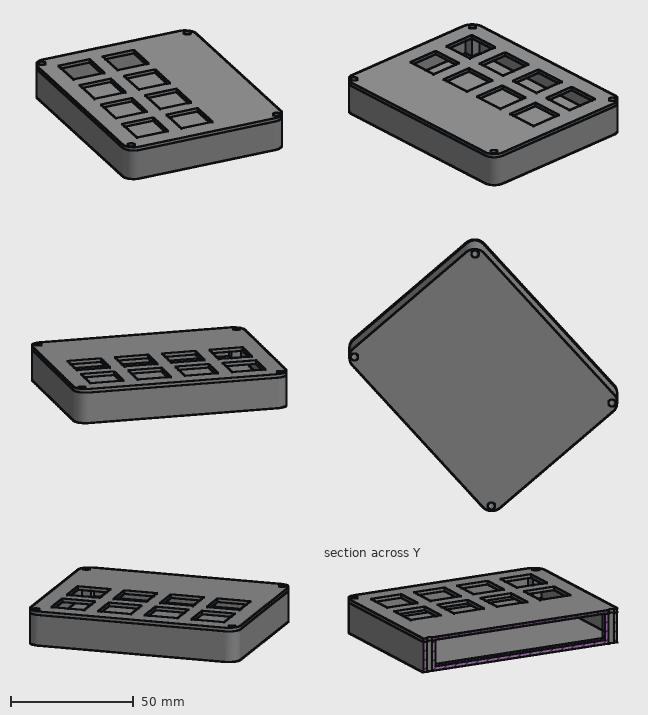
import cadquery as cq

length = 90.0
width = 71.55
height = 14.5
corner_radius = 5.0

lid_thickness = 1.5
wall = 2.0
floor_thickness = 2.0
housing_height = height - lid_thickness

board_thickness = 1.0

screw_diameter = 3.0
screw_inset = 3.0
corner_block = 2 * screw_inset

key_columns = 4
key_rows = 2
key_pitch = 20.0
key_window = 14.0
first_row_inset = 15.0
key_grid_y = -width / 2 + first_row_inset + (key_rows - 1) * key_pitch / 2


def rounded_block(bottom, thickness):
    """Block with the outer outline of the enclosure."""
    block = cq.Workplane("XY").workplane(offset=bottom).rect(length, width).extrude(thickness)
    return block.edges("|Z").fillet(corner_radius)


def cavity_block(bottom, thickness):
    """Block that fits inside the walls and between the four corner blocks."""
    plane = cq.Workplane("XY").workplane(offset=bottom)
    lengthwise = plane.rect(length - 2 * wall, width - 2 * corner_block).extrude(thickness)
    crosswise = plane.rect(length - 2 * corner_block, width - 2 * wall).extrude(thickness)
    return lengthwise.union(crosswise)


def screw_holes():
    """Cutters that pass through the lid and the housing."""
    spacing_x = length - 2 * screw_inset
    spacing_y = width - 2 * screw_inset
    centres = cq.Workplane("XY").rect(spacing_x, spacing_y, forConstruction=True).vertices()
    return centres.circle(screw_diameter / 2).extrude(height)


def key_windows():
    """Cutters for the square key openings in the lid."""
    grid = cq.Workplane("XY", origin=(0, key_grid_y, housing_height))
    grid = grid.rarray(key_pitch, key_pitch, key_columns, key_rows)
    return grid.rect(key_window, key_window).extrude(lid_thickness)


def make_housing():
    cavity = cavity_block(floor_thickness, housing_height - floor_thickness)
    return rounded_block(0, housing_height).cut(cavity).cut(screw_holes())


def make_board():
    return cavity_block(floor_thickness, board_thickness)


def make_lid():
    return rounded_block(housing_height, lid_thickness).cut(screw_holes()).cut(key_windows())


housing = make_housing()
board = make_board()
lid = make_lid()

bodies = [housing, board, lid]
result = cq.Compound.makeCompound([body.solids().val() for body in bodies])